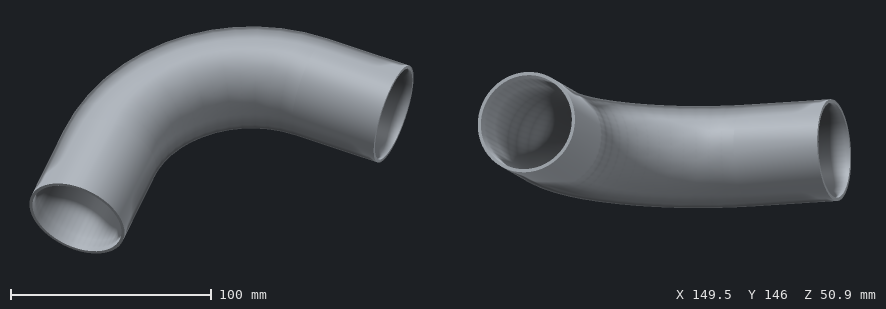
import cadquery as cq
import math

overall_length = 149.5
outer_diameter = 50.9
inner_diameter = 47.5
bend_radius = 1.5 * outer_diameter
bend_angle = 92.0

overbend = math.radians(bend_angle - 90.0)
outside_radius = bend_radius + outer_diameter / 2
end_length = (overall_length - outside_radius * (1 + math.sin(overbend))) / math.cos(overbend)


def centreline_point(angle, past_bend=0.0):
    """Point on the bend after turning by angle (radians), then straight on by past_bend."""
    x = -bend_radius * math.cos(angle) + past_bend * math.sin(angle)
    y = bend_radius * math.sin(angle) + past_bend * math.cos(angle)
    return x, y


full_turn = math.radians(bend_angle)
inlet_point = (-bend_radius, -end_length)
centreline = (
    cq.Workplane("XY")
    .moveTo(*inlet_point)
    .lineTo(*centreline_point(0))
    .threePointArc(centreline_point(full_turn / 2), centreline_point(full_turn))
    .lineTo(*centreline_point(full_turn, end_length))
)

result = (
    cq.Workplane("XZ", origin=(*inlet_point, 0))
    .circle(outer_diameter / 2)
    .circle(inner_diameter / 2)
    .sweep(centreline)
)